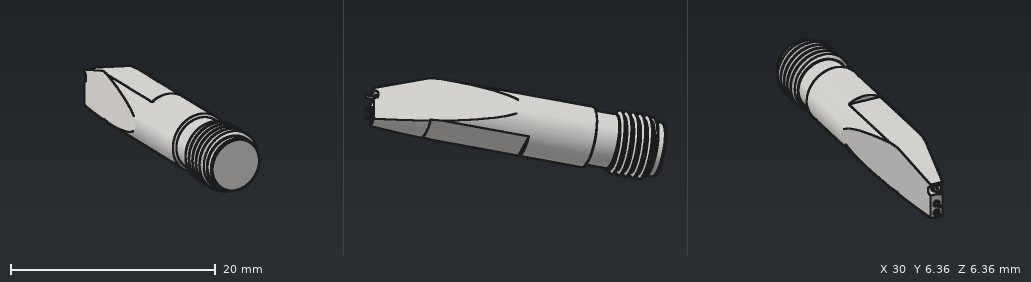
import cadquery as cq
import math

total_length = 30.0
tip_x = 0.65
body_end_x = 22.75
neck_start_x = 22.9

body_radius = 3.03
neck_radius = 2.7
end_chamfer = 0.18

flat_height = 2.5
flat_end_x = 16.2
top_flat_start_x = 6.1
bottom_flat_start_x = 6.18
tip_top_z = 0.75

tip_half_width = 0.65
taper_end_x = 15.33

groove_radius = 0.45
contact_bore_diameter = 0.63
contact_bore_radius = contact_bore_diameter / 2
contact_bore_depth = 0.75
signal_pin_radius = 0.15
side_pin_radius = 0.12
contacts = [(0.0, signal_pin_radius), (-1.5, side_pin_radius), (-2.5, side_pin_radius)]

thread_start_x = 25.15
thread_end_x = 29.15
four_pitch_length = 2.82
thread_pitch = four_pitch_length / 4
thread_turns = 8
thread_radius = 3.18
thread_root_radius = 2.73
thread_end_radius = 2.8
crest_width = thread_pitch / 8
flank_angle = math.radians(30)
helix_start_x = 24.33
ridge_overlap = 0.05

seam_angle = 23

clearance = 1.5


def cylinder_along_x(radius, start_x, end_x, z=0.0):
    return cq.Workplane("YZ", origin=(start_x, 0, z)).circle(radius).extrude(end_x - start_x)


def prism_across_y(points):
    """Extrude an XZ outline right through the width of the body."""
    return cq.Workplane("XZ").polyline(points).close().extrude(body_radius + clearance, both=True)


def turned_body():
    profile = [
        (tip_x, 0),
        (tip_x, body_radius),
        (body_end_x, body_radius),
        (neck_start_x, neck_radius),
        (thread_start_x, neck_radius),
        (thread_start_x, thread_root_radius),
        (thread_end_x, thread_root_radius),
        (thread_end_x, neck_radius),
        (total_length - end_chamfer, neck_radius),
        (total_length, neck_radius - end_chamfer / 2),
        (total_length, 0),
    ]
    body = cq.Workplane("XY").polyline(profile).close().revolve(360, (0, 0, 0), (1, 0, 0))
    return body.rotate((0, 0, 0), (1, 0, 0), seam_angle)


def top_cutter():
    """Top flat with the slope that runs down to the tip."""
    outer_z = body_radius + clearance
    return prism_across_y([
        (tip_x, tip_top_z),
        (top_flat_start_x, flat_height),
        (flat_end_x, flat_height),
        (flat_end_x, outer_z),
        (tip_x, outer_z),
    ])


def bottom_cutter():
    outer_z = -body_radius - clearance
    return prism_across_y([
        (bottom_flat_start_x, -flat_height),
        (flat_end_x, -flat_height),
        (flat_end_x, outer_z),
        (bottom_flat_start_x, outer_z),
    ])


def side_cutter(side):
    """Tapering side plane; side is +1 or -1 for the +Y or -Y face."""
    outline = [
        (tip_x, side * tip_half_width),
        (taper_end_x, side * body_radius),
        (tip_x, side * body_radius),
    ]
    return cq.Workplane("XY").polyline(outline).close().extrude(body_radius + clearance, both=True)


def groove_cutter():
    groove = cq.Workplane("XZ", origin=(tip_x, 0, 0)).circle(groove_radius)
    return groove.extrude(body_radius, both=True)


def thread_turn(start_x):
    """One turn of the thread ridge, its base sunk below the root cylinder."""
    base_radius = thread_root_radius - ridge_overlap
    half_crest = crest_width / 2
    half_base = half_crest + (thread_radius - base_radius) * math.tan(flank_angle)
    path = cq.Wire.makeHelix(thread_pitch, thread_pitch, base_radius)
    outline = [
        (base_radius, -half_base),
        (thread_radius, -half_crest),
        (thread_radius, half_crest),
        (base_radius, half_base),
    ]
    turn = cq.Workplane("XZ").polyline(outline).close().sweep(cq.Workplane(path), isFrenet=True)
    return turn.rotate((0, 0, 0), (0, 1, 0), 90).translate((start_x, 0, 0))


def thread_end_cutter(end_x, inward):
    """Ring with a 45 degree cone that trims a thread end; inward is the X sign toward mid thread."""
    inner_radius = neck_radius - clearance
    outer_radius = thread_radius + clearance
    cone_reach = outer_radius - thread_end_radius
    outer_x = end_x - inward * clearance
    profile = [
        (end_x, inner_radius),
        (end_x, thread_end_radius),
        (end_x + inward * cone_reach, outer_radius),
        (outer_x, outer_radius),
        (outer_x, inner_radius),
    ]
    ring = cq.Workplane("XY").polyline(profile).close().revolve(360, (0, 0, 0), (1, 0, 0))
    return ring.rotate((0, 0, 0), (1, 0, 0), seam_angle)


result = turned_body().cut(top_cutter()).cut(bottom_cutter())
for side in (1, -1):
    result = result.cut(side_cutter(side))
result = result.cut(groove_cutter())

bore_floor_x = tip_x + contact_bore_depth
for contact_z, pin_radius in contacts:
    result = result.cut(cylinder_along_x(contact_bore_radius, tip_x, bore_floor_x, contact_z))
    pin_root_x = bore_floor_x + contact_bore_depth
    result = result.union(cylinder_along_x(pin_radius, 0, pin_root_x, contact_z))

start_cutter = thread_end_cutter(thread_start_x, 1)
end_cutter = thread_end_cutter(thread_end_x, -1)
for turn_index in range(thread_turns):
    turn = thread_turn(helix_start_x + turn_index * thread_pitch)
    turn = turn.cut(start_cutter, clean=False).cut(end_cutter, clean=False)
    result = result.union(turn, clean=False)